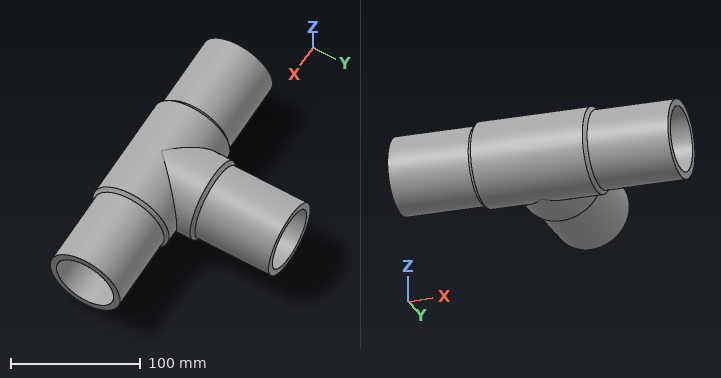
import cadquery as cq

run_length = 229.0
branch_reach = 115.0
pipe_diameter = 63.0
body_diameter = 68.7
bore_diameter = 51.3
pipe_end_length = 66.0

shoulder = (body_diameter - pipe_diameter) / 2


def arm_solid(length):
    """Solid arm along +X: thick body, sloped shoulder, then plain pipe end."""
    body_radius = body_diameter / 2
    pipe_radius = pipe_diameter / 2
    body_length = length - pipe_end_length
    half_section = [
        (0, 0),
        (0, body_radius),
        (body_length - shoulder, body_radius),
        (body_length, pipe_radius),
        (length, pipe_radius),
        (length, 0),
    ]
    profile = cq.Workplane("XY").polyline(half_section).close()
    return profile.revolve(360, (0, 0, 0), (1, 0, 0))


def turn(shape, angle):
    """Turn a shape about the vertical axis through the tee centre."""
    return shape.rotate((0, 0, 0), (0, 0, 1), angle)


right_arm = arm_solid(run_length / 2)
left_arm = turn(right_arm, 180)
branch_arm = turn(arm_solid(branch_reach), 90)
outside = right_arm.union(left_arm).union(branch_arm)

run_bore = cq.Workplane("YZ").circle(bore_diameter / 2).extrude(run_length / 2, both=True)
branch_bore = cq.Workplane("XZ").circle(bore_diameter / 2).extrude(-branch_reach)

result = outside.cut(run_bore).cut(branch_bore).clean()